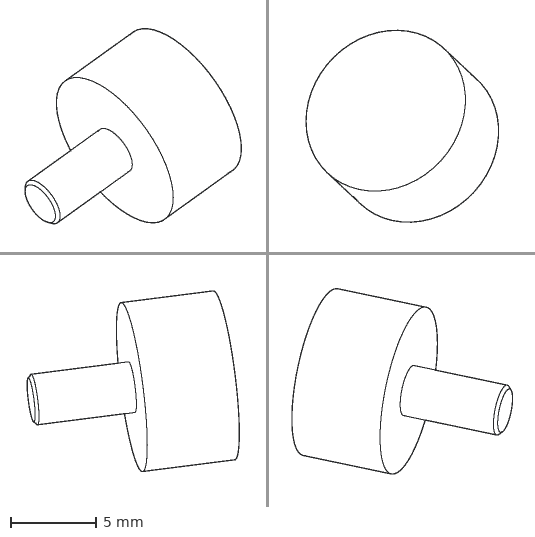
import cadquery as cq

total_length = 11.5
head_diameter = 10.0
head_length = 5.5
stud_diameter = 3.0
stud_length = total_length - head_length
tip_chamfer = 0.2


def make_head():
    """Head from the shoulder plane (Y = 0) toward +Y."""
    return cq.Workplane("XZ").circle(head_diameter / 2).extrude(-head_length)


def make_stud():
    """Stud from the shoulder plane toward -Y, chamfered at its free end."""
    stud = cq.Workplane("XZ").circle(stud_diameter / 2).extrude(stud_length)
    return stud.faces("<Y").chamfer(tip_chamfer)


result = make_head().union(make_stud())